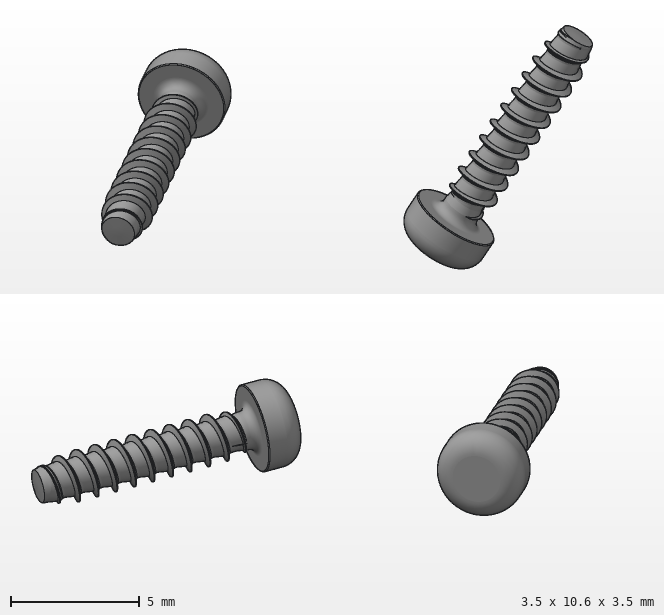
import cadquery as cq
import math


head_radius = 3.5 / 2
head_height = 1.6
head_round = 0.8
seat_edge_chamfer = 0.04

shank_length = 9.0
neck_radius = 0.76
neck_fillet = 0.35
neck_end_depth = 0.48
neck_taper_end_depth = 0.80
core_radius = 0.69
tip_taper_length = 0.35
tip_radius = 0.66
tip_cone_height = 0.03
tip_edge_depth = shank_length - tip_cone_height
tip_taper_start = tip_edge_depth - tip_taper_length

pitch = 0.78
crest_radius = 1.0
crest_half_width = 0.02
foot_half_width = 0.11
swell_radius = 0.75
swell_head_reach = 0.27
swell_bend_radius = 0.705
swell_bend_reach = 0.17
swell_tip_reach = 0.49
buried_radius = 0.60

crest_start_depth = 1.395
head_runout_turns = 2
head_runout_start = crest_start_depth - head_runout_turns * pitch
head_sink_per_turn = 0.16
tip_runout_start = 7.75
tip_runout_turns = 1.65
tip_runout_end = tip_runout_start + tip_runout_turns * pitch
tip_sink_per_turn = 0.21


def helix_edge(start, end, start_radius, end_radius, offset):
    """Helix between two depths, its radius changing evenly, shifted along the axis by an offset."""
    height = end - start
    slope = math.atan2(end_radius - start_radius, height)
    if math.isclose(start_radius, end_radius):
        helix = cq.Wire.makeHelix(pitch, height, start_radius)
    else:
        stretch = 1 / math.cos(slope)
        helix = cq.Wire.makeHelix(
            pitch * stretch, height * stretch, start_radius, angle=math.degrees(slope)
        )
    turn = 360 * (start - crest_start_depth) / pitch
    place = cq.Location(cq.Vector(0, 0, start + offset), cq.Vector(0, 0, 1), turn)
    return helix.moved(place).Edges()[0]


def end_cap(edges, at):
    """Flat face through one end of every helix of a thread body."""
    corners = [edge.positionAt(at) for edge in edges]
    return cq.Face.makeFromWires(cq.Wire.makePolygon(corners, close=True))


def thread_body(profile, stations):
    """Helical body with a closed (radius, axial offset) profile, sunk by a given amount at each depth."""
    faces = []
    runs = []
    for (start, start_sink), (end, end_sink) in zip(stations, stations[1:]):
        edges = [
            helix_edge(start, end, radius - start_sink, radius - end_sink, offset)
            for radius, offset in profile
        ]
        runs.append(edges)
        for edge, neighbour in zip(edges, edges[1:] + edges[:1]):
            faces.append(cq.Face.makeRuledSurface(edge, neighbour))
    faces.append(end_cap(runs[0], 0))
    faces.append(end_cap(runs[-1], 1))
    body = cq.Solid.makeSolid(cq.Shell.makeShell(faces))
    return cq.Workplane(body.fix())


def make_fin():
    flank_slope = (foot_half_width - crest_half_width) / (crest_radius - swell_radius)
    root_half_width = crest_half_width + flank_slope * (crest_radius - buried_radius)
    profile = [
        (buried_radius, -root_half_width),
        (crest_radius, -crest_half_width),
        (crest_radius, crest_half_width),
        (buried_radius, root_half_width),
    ]
    head_sink = head_sink_per_turn * head_runout_turns
    tip_sink = tip_sink_per_turn * tip_runout_turns
    stations = [
        (head_runout_start, head_sink),
        (crest_start_depth, 0),
        (tip_runout_start, 0),
        (tip_runout_end, tip_sink),
    ]
    return thread_body(profile, stations)


def make_swell():
    profile = [
        (buried_radius, -swell_head_reach),
        (core_radius, -swell_head_reach),
        (swell_bend_radius, -swell_bend_reach),
        (swell_radius, -foot_half_width),
        (swell_radius, foot_half_width),
        (core_radius, swell_tip_reach),
        (buried_radius, swell_tip_reach),
    ]
    stations = [(head_runout_start + pitch, 0), (tip_runout_end, 0)]
    return thread_body(profile, stations)


def make_blank():
    """Head, neck, core and shallow conical tip, turned about the local Z axis."""
    taper_left = (core_radius - tip_radius) / (swell_radius - tip_radius)
    core_taper_start = tip_edge_depth - taper_left * tip_taper_length
    neck_arc_mid = neck_fillet * (1 - math.sqrt(0.5))
    head_arc_mid = head_round * (1 - math.sqrt(0.5))
    outline = (
        cq.Workplane("YZ")
        .moveTo(0, -head_height)
        .lineTo(head_radius - head_round, -head_height)
        .threePointArc(
            (head_radius - head_arc_mid, -head_height + head_arc_mid),
            (head_radius, -head_height + head_round),
        )
        .lineTo(head_radius, -seat_edge_chamfer)
        .lineTo(head_radius - seat_edge_chamfer, 0)
        .lineTo(neck_radius + neck_fillet, 0)
        .threePointArc((neck_radius + neck_arc_mid, neck_arc_mid), (neck_radius, neck_fillet))
        .lineTo(neck_radius, neck_end_depth)
        .lineTo(core_radius, neck_taper_end_depth)
        .lineTo(core_radius, core_taper_start)
        .lineTo(tip_radius, tip_edge_depth)
        .lineTo(0, shank_length)
        .close()
    )
    return outline.revolve(360, (0, 0, 0), (0, 1, 0))


def make_fin_zone():
    """Room for the fin: from the end of the neck to the edge of the tip."""
    zone = cq.Workplane("XY").workplane(offset=neck_end_depth)
    return zone.circle(head_radius).extrude(tip_edge_depth - neck_end_depth)


def make_swell_zone():
    """Room for the swell: as for the fin, but narrowed by the taper of the tip."""
    outline = (
        cq.Workplane("YZ")
        .moveTo(0, neck_end_depth)
        .lineTo(head_radius, neck_end_depth)
        .lineTo(head_radius, tip_taper_start)
        .lineTo(swell_radius, tip_taper_start)
        .lineTo(tip_radius, tip_edge_depth)
        .lineTo(0, tip_edge_depth)
        .close()
    )
    return outline.revolve(360, (0, 0, 0), (0, 1, 0))


swell = make_swell().intersect(make_swell_zone())
fin = make_fin().intersect(make_fin_zone())
screw = make_blank().union(swell).union(fin)

result = screw.rotate((0, 0, 0), (1, 0, 0), 90)